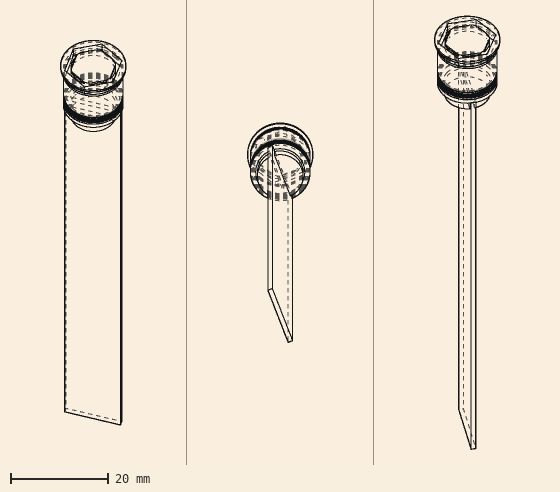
import cadquery as cq
import math

top_z = 56.2
blade_bottom_z = -56.2

flange_radius = 6.8
flange_thickness = 0.6
flange_cone_depth = 1.1
barrel_radius = 6.2
barrel_depth = 12.5
taper_radius = 5.1
boss_radius = 4.7
boss_taper_depth = 12.9
boss_depth = 15.5

upper_groove_radius = 6.0
upper_groove_top = 1.9
upper_groove_bottom = 2.5

seal_cone_top = 9.0
seal_cone_radius = 6.1
seal_top_depth = 9.6
seal_bottom_depth = 11.5
seal_inner_radius = 5.5
seal_root_radius = 6.0
ridge_count = 4

socket_flats = 10.5
socket_depth = 2.2
island_radius = 4.6
island_step_depth = 0.8
island_flats = 8.4
island_depth = 0.3

blade_width = 12.0
blade_thickness = 1.0


def cylinder(radius, upper_depth, lower_depth):
    """Solid cylinder between two depths below the top."""
    return cq.Workplane("XY").workplane(offset=top_z - lower_depth).circle(radius).extrude(
        lower_depth - upper_depth
    )


def hexagon(flats, depth):
    """Hexagonal prism with corners on Y, from the top down to a depth."""
    corner_diameter = flats / math.cos(math.pi / 6)
    return (
        cq.Workplane("XY").workplane(offset=top_z)
        .transformed(rotate=(0, 0, 90))
        .polygon(6, corner_diameter).extrude(-depth)
    )


def make_blade():
    blade_top_z = top_z - barrel_depth
    return cq.Workplane("XY").workplane(offset=blade_bottom_z).rect(
        blade_width, blade_thickness
    ).extrude(blade_top_z - blade_bottom_z)


def revolve_profile(profile):
    """Solid of revolution from (radius, depth below the top) points."""
    points = [(radius, top_z - depth) for radius, depth in profile]
    return cq.Workplane("XZ").polyline(points).close().revolve(360, (0, 0), (0, 1))


def make_socket():
    """Space cut out of the cap: the hexagon less the island."""
    island_base = cylinder(island_radius, island_step_depth, socket_depth)
    island_head = hexagon(island_flats, socket_depth).intersect(
        cylinder(island_radius, island_depth, socket_depth)
    )
    return hexagon(socket_flats, socket_depth).cut(island_base).cut(island_head)


def make_cap(blade):
    profile = [
        (0, 0),
        (flange_radius, 0),
        (flange_radius, flange_thickness),
        (barrel_radius, flange_cone_depth),
        (barrel_radius, upper_groove_top),
        (upper_groove_radius, (upper_groove_top + upper_groove_bottom) / 2),
        (barrel_radius, upper_groove_bottom),
        (barrel_radius, seal_cone_top),
        (seal_cone_radius, seal_top_depth),
        (seal_inner_radius, seal_top_depth),
        (seal_inner_radius, seal_bottom_depth),
        (barrel_radius, seal_bottom_depth),
        (barrel_radius, barrel_depth),
        (taper_radius, barrel_depth),
        (boss_radius, boss_taper_depth),
        (boss_radius, boss_depth),
        (0, boss_depth),
    ]
    cap = revolve_profile(profile)
    cap = cap.cut(make_socket())
    return cap.cut(blade)


def make_seal():
    ridge_pitch = (seal_bottom_depth - seal_top_depth) / ridge_count
    profile = [(seal_inner_radius, seal_top_depth)]
    for ridge in range(ridge_count):
        ridge_top = seal_top_depth + ridge * ridge_pitch
        profile.append((seal_root_radius, ridge_top))
        profile.append((barrel_radius, ridge_top + ridge_pitch))
    profile.append((seal_inner_radius, seal_bottom_depth))
    return revolve_profile(profile)


blade = make_blade()
cap = make_cap(blade)
seal = make_seal()

result = cq.Compound.makeCompound([cap.val(), seal.val(), blade.val()])